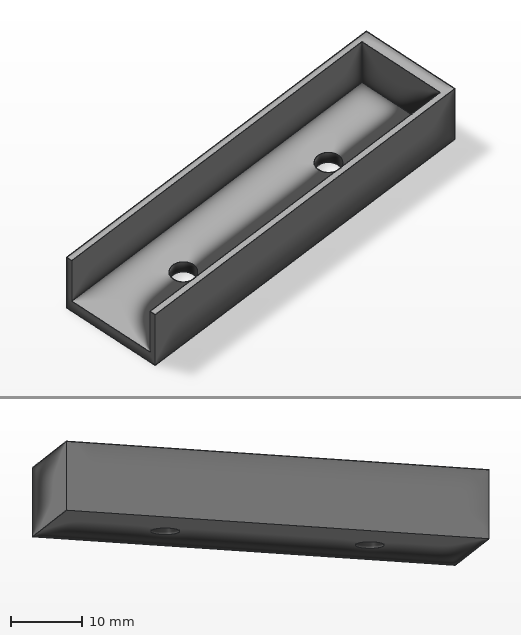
import cadquery as cq

width = 17.0
length = 62.0
height = 10.0

side_wall = 1.0
end_wall = 2.0
floor = 2.0

hole_diameter = 4.0
channel_length = length - end_wall
front_y = -length / 2
hole_positions = [(0, front_y + channel_length * share) for share in (0.25, 0.75)]

block = cq.Workplane("XY").box(width, length, height, centered=(True, True, False))

channel = (
    cq.Workplane("XY")
    .box(width - 2 * side_wall, channel_length, height - floor, centered=(True, False, False))
    .translate((0, front_y, floor))
)

holes = cq.Workplane("XY").pushPoints(hole_positions).circle(hole_diameter / 2).extrude(floor)

result = block.cut(channel).cut(holes)